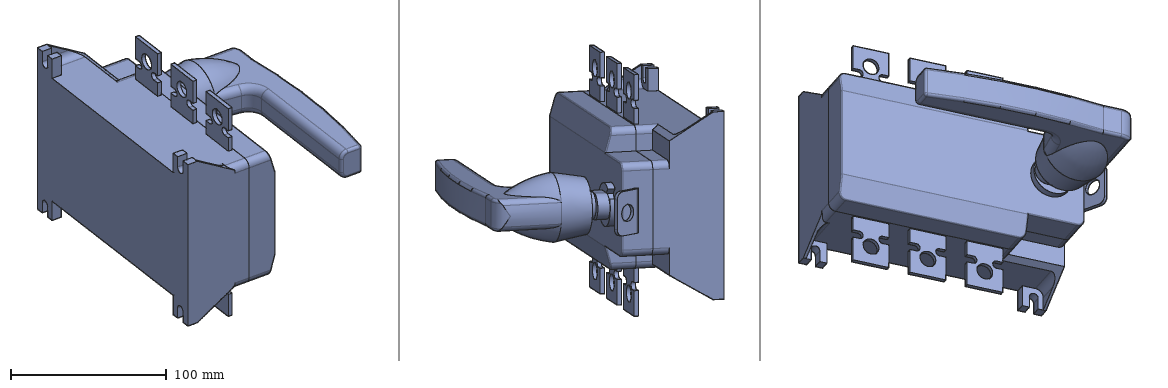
import cadquery as cq
import math


LENGTH = 170.4
BODY_HALF = 46.7
SPLIT_Y = 47.6
COVER_TOP_Y = 68.3
CORNER_R = 5.0
LEDGE_Y = 36.6
NARROW_HALF = 30.8
NARROW_LENGTH = 39.2
COVER_EDGE_Y = 63.8
COVER_EDGE_R = 0.7

FOOT_HALF = 61.4
FOOT_HEIGHT = 7.3
FOOT_LENGTH = 16.7
END_PLATE = 2.0
END_PLATE_R = 5.5
SLOPE_TOP_HALF = 44.0
SLOT_WIDTH = 6.0
SLOT_DEPTH = 10.8
SLOT_INSET = 8.6

POLES = 3
TERMINAL_TIP = 79.0
TERMINAL_WIDTH = 25.1
TERMINAL_BOTTOM_Y = 43.6
TERMINAL_THICKNESS = 3.0
POLE_PITCH = 40.0
FIRST_POLE_X = 60.3
TERMINAL_HOLE_D = 11.0
TERMINAL_HOLE_Z = 66.3
NOTCH_WIDTH = 5.3
NOTCH_DEPTH = 7.0
NOTCH_Z = 59.5

AXIS_X = 23.6
DISC_R = 14.1
DISC_TOP_Y = 73.3
DISC_NOTCH_WIDTH = 7.3
DISC_NOTCH_DEPTH = 6.6
DISC_NOTCH_ANGLE = 40.0
COLLAR_LENGTH = 26.5
COLLAR_WIDTH = 17.2
COLLAR_TOP_Y = 81.3
STEM_BOTTOM_R = 9.0
STEM_TOP_R = 10.3
KNOB_BOTTOM_Y = 86.5
KNOB_BOTTOM_R = 18.7
SHOULDER_Y = 108.1
SHOULDER_R = 22.5
SHAFT_END_X = AXIS_X - SHOULDER_R
NECK_X = AXIS_X + SHOULDER_R
DOME_MID = (18.0, 125.5)
DOME_END = (9.2, 141.6)
GRIP_HALF = 10.5
GRIP_TOP_Y = 152.5
GRIP_CROWN = (86.1, 156.7)
GRIP_END_X = 148.4
GRIP_END_TOP_Y = 150.8
GRIP_BOTTOM_Y = 134.3
GRIP_CORNER_R = 10.0
NECK_LEAN = 3.7
NECK_R = 10.0
GRIP_UNDER_R = 5.5
SHAFT_END_R = 5.0
GRIP_EDGE_R = 2.0

BRACKET_HALF = 14.5
BRACKET_THICKNESS = 2.5
BRACKET_BOTTOM_Y = 57.5
BRACKET_ANGLE = 60.0
BRACKET_BEND_R = 1.3
BRACKET_FOOT = 0.5
BRACKET_REACH = 12.8
BRACKET_CORNER_R = 4.8
BRACKET_HOLE_D = 11.0
BRACKET_HOLE_INSET = 9.5

MARGIN = 1.8
NARROW_MARGIN = 0.2


def plan(y):
    """Workplane at height y with local axes X and Z; negative extrusion goes towards +Y."""
    return cq.Workplane("XZ", origin=(0, y, 0))


def block(x0, x1, half_z, y0, y1):
    """Box from x0 to x1 and y0 to y1, centred on Z = 0."""
    return plan(y0).center((x0 + x1) / 2, 0).rect(x1 - x0, 2 * half_z).extrude(y0 - y1)


def pole_section(y0, y1):
    """Wide part of the upper housing, over the poles."""
    return block(NARROW_LENGTH, LENGTH, BODY_HALF, y0, y1).edges("|Y").fillet(CORNER_R)


def shaft_section(y0, y1):
    """Narrow part of the upper housing, under the handle; it runs on into the pole section."""
    return block(0, LENGTH / 2, NARROW_HALF, y0, y1).edges("|Y and <X").fillet(CORNER_R)


def sloped_base():
    """Lower base with end plates, cut to its sloped end profile."""
    lower = block(0, LENGTH, BODY_HALF, 0, LEDGE_Y)
    for x in (0, LENGTH - END_PLATE):
        lower = lower.union(block(x, x + END_PLATE, FOOT_HALF, 0, LEDGE_Y))
    inner_corners = cq.selectors.BoxSelector(
        (END_PLATE / 2, 0, -BODY_HALF - MARGIN),
        (LENGTH - END_PLATE / 2, LEDGE_Y, BODY_HALF + MARGIN),
    )
    lower = lower.edges("|Y").edges(inner_corners).fillet(END_PLATE_R)
    end_profile = (
        cq.Workplane("YZ")
        .moveTo(0, -FOOT_HALF)
        .lineTo(FOOT_HEIGHT, -FOOT_HALF)
        .lineTo(LEDGE_Y, -SLOPE_TOP_HALF)
        .lineTo(LEDGE_Y, SLOPE_TOP_HALF)
        .lineTo(FOOT_HEIGHT, FOOT_HALF)
        .lineTo(0, FOOT_HALF)
        .close()
        .extrude(LENGTH)
    )
    return lower.intersect(end_profile)


def slotted_feet(x0, slot_x):
    """The pair of feet at one end, each with a slot open to its outer edge."""
    feet = block(x0, x0 + FOOT_LENGTH, FOOT_HALF, 0, FOOT_HEIGHT)
    slots = (
        plan(0)
        .pushPoints([(slot_x, FOOT_HALF), (slot_x, -FOOT_HALF)])
        .slot2D(2 * SLOT_DEPTH, SLOT_WIDTH, 90)
        .extrude(-FOOT_HEIGHT)
    )
    return feet, slots


def terminal(x):
    """One flat bar through the base, with a bolt hole and two side notches at each end."""
    top = TERMINAL_BOTTOM_Y + TERMINAL_THICKNESS
    half = TERMINAL_WIDTH / 2
    bar = block(x - half, x + half, TERMINAL_TIP, TERMINAL_BOTTOM_Y, top)
    holes = (
        plan(TERMINAL_BOTTOM_Y)
        .pushPoints([(x, TERMINAL_HOLE_Z), (x, -TERMINAL_HOLE_Z)])
        .circle(TERMINAL_HOLE_D / 2)
        .extrude(-TERMINAL_THICKNESS)
    )
    notches = (
        plan(TERMINAL_BOTTOM_Y)
        .pushPoints([(x + sx * half, sz * NOTCH_Z) for sx in (-1, 1) for sz in (-1, 1)])
        .slot2D(2 * NOTCH_DEPTH, NOTCH_WIDTH)
        .extrude(-TERMINAL_THICKNESS)
    )
    return bar.cut(holes).cut(notches)


def make_base():
    """Base with its end plates and feet; the terminals are one piece with it."""
    base = sloped_base()
    base = base.union(pole_section(FOOT_HEIGHT, SPLIT_Y)).union(shaft_section(FOOT_HEIGHT, SPLIT_Y))
    ends = ((0, SLOT_INSET), (LENGTH - FOOT_LENGTH, LENGTH - SLOT_INSET))
    for foot_x, slot_x in ends:
        feet, slots = slotted_feet(foot_x, slot_x)
        base = base.union(feet).cut(slots)
    for pole in range(POLES):
        base = base.union(terminal(FIRST_POLE_X + pole * POLE_PITCH))
    return base


def sloped_pole_cover():
    """Wide part of the cover, with flanks sloping to its long sides and a rounded rim."""
    profile = (
        cq.Workplane("YZ")
        .moveTo(SPLIT_Y, -BODY_HALF)
        .lineTo(COVER_EDGE_Y, -BODY_HALF)
        .lineTo(COVER_TOP_Y, -NARROW_HALF)
        .lineTo(COVER_TOP_Y, NARROW_HALF)
        .lineTo(COVER_EDGE_Y, BODY_HALF)
        .lineTo(SPLIT_Y, BODY_HALF)
        .close()
        .extrude(LENGTH)
    )
    cover = pole_section(SPLIT_Y, COVER_TOP_Y).intersect(profile)
    upper_edges = cq.selectors.BoxSelector(
        (0, COVER_EDGE_Y - MARGIN, -BODY_HALF - MARGIN),
        (LENGTH + MARGIN, COVER_TOP_Y + MARGIN, BODY_HALF + MARGIN),
    )
    ridges = cq.selectors.BoxSelector(
        (NARROW_LENGTH + MARGIN, COVER_TOP_Y - NARROW_MARGIN, -BODY_HALF),
        (LENGTH - MARGIN, COVER_TOP_Y + NARROW_MARGIN, BODY_HALF),
    )
    return cover.edges(upper_edges - ridges).fillet(COVER_EDGE_R)


def make_cover():
    """Cover: sloped pole section and narrow shaft section, both with rounded rims."""
    shaft_cover = shaft_section(SPLIT_Y, COVER_TOP_Y).faces(">Y").edges("not >X").fillet(COVER_EDGE_R)
    return sloped_pole_cover().union(shaft_cover)


def knob():
    """Shaft stem, tapered knob and dome, turned about the shaft axis."""
    return (
        cq.Workplane("XY", origin=(AXIS_X, 0, 0))
        .moveTo(0, COLLAR_TOP_Y)
        .lineTo(STEM_BOTTOM_R, COLLAR_TOP_Y)
        .lineTo(STEM_TOP_R, KNOB_BOTTOM_Y)
        .lineTo(KNOB_BOTTOM_R, KNOB_BOTTOM_Y)
        .lineTo(SHOULDER_R, SHOULDER_Y)
        .threePointArc(DOME_MID, DOME_END)
        .lineTo(0, DOME_END[1])
        .close()
        .revolve(360, (0, 0, 0), (0, 1, 0))
    )


def collar():
    """Oblong collar on a round disc that has one locking notch in its rim."""
    disc = plan(COVER_TOP_Y).center(AXIS_X, 0).circle(DISC_R).extrude(COVER_TOP_Y - DISC_TOP_Y)
    notch = (
        plan(COVER_TOP_Y)
        .center(AXIS_X, 0)
        .transformed(rotate=(0, 0, 180 - DISC_NOTCH_ANGLE))
        .center(DISC_R, 0)
        .rect(2 * DISC_NOTCH_DEPTH, DISC_NOTCH_WIDTH)
        .extrude(COVER_TOP_Y - DISC_TOP_Y)
    )
    oblong = (
        plan(DISC_TOP_Y)
        .center(AXIS_X, 0)
        .slot2D(COLLAR_LENGTH, COLLAR_WIDTH)
        .extrude(DISC_TOP_Y - COLLAR_TOP_Y)
    )
    return disc.cut(notch).union(oblong)


def lever_blank():
    """Bent lever of even thickness: a neck over the shaft and a long grip, rounded underneath."""
    blank = (
        cq.Workplane("XY", origin=(0, 0, -GRIP_HALF))
        .moveTo(SHAFT_END_X, SHOULDER_Y)
        .lineTo(NECK_X, SHOULDER_Y)
        .lineTo(NECK_X + NECK_LEAN, GRIP_BOTTOM_Y)
        .lineTo(GRIP_END_X, GRIP_BOTTOM_Y)
        .lineTo(GRIP_END_X, GRIP_END_TOP_Y)
        .threePointArc(GRIP_CROWN, (AXIS_X, GRIP_TOP_Y))
        .lineTo(SHAFT_END_X + GRIP_CORNER_R, GRIP_TOP_Y)
        .radiusArc((SHAFT_END_X, GRIP_TOP_Y - GRIP_CORNER_R), -GRIP_CORNER_R)
        .close()
        .extrude(2 * GRIP_HALF)
    )
    neck_bend = cq.selectors.NearestToPointSelector((NECK_X + NECK_LEAN, GRIP_BOTTOM_Y, 0))
    blank = blank.edges("|Z").edges(neck_bend).fillet(NECK_R)
    underside = cq.selectors.BoxSelector(
        (NECK_X - MARGIN, SHOULDER_Y + MARGIN, -GRIP_HALF - MARGIN),
        (GRIP_END_X - MARGIN, GRIP_BOTTOM_Y + MARGIN, GRIP_HALF + MARGIN),
    )
    return blank.edges("not |Z").edges(underside).fillet(GRIP_UNDER_R)


def grip():
    """Lever with rounded top edges, far end and shaft end."""
    blank = lever_blank()
    headroom = GRIP_CROWN[1] + MARGIN
    over_shaft = blank.intersect(block(SHAFT_END_X, AXIS_X, SHOULDER_R, SHOULDER_Y, headroom))
    beyond_shaft = blank.intersect(block(AXIS_X, GRIP_END_X, SHOULDER_R, SHOULDER_Y, headroom))

    flat_top = cq.selectors.BoxSelector(
        (SHAFT_END_X + GRIP_CORNER_R, GRIP_TOP_Y - NARROW_MARGIN, -GRIP_HALF - MARGIN),
        (AXIS_X - NARROW_MARGIN, headroom, GRIP_HALF + MARGIN),
    )
    over_shaft = over_shaft.edges("|X").edges(flat_top).fillet(GRIP_EDGE_R)
    crowned_top = cq.selectors.BoxSelector(
        (AXIS_X + MARGIN, GRIP_TOP_Y, -GRIP_HALF - MARGIN),
        (GRIP_END_X - MARGIN, headroom, GRIP_HALF + MARGIN),
    )
    far_end = beyond_shaft.faces(">X").edges()
    beyond_shaft = far_end.add(beyond_shaft.edges("not |Z").edges(crowned_top)).fillet(GRIP_EDGE_R)

    shaft_end = plan(SHOULDER_Y).center(AXIS_X, 0).circle(SHOULDER_R).extrude(SHOULDER_Y - headroom)
    outline = shaft_end.union(block(AXIS_X, GRIP_END_X, SHOULDER_R, SHOULDER_Y, headroom))
    outline = outline.intersect(block(SHAFT_END_X, GRIP_END_X, GRIP_HALF, SHOULDER_Y, headroom))
    outline = outline.edges("|Y and (not >X)").fillet(SHAFT_END_R)
    return over_shaft.union(beyond_shaft).intersect(outline)


def make_handle():
    """Turning handle: collar, knob and grip in one piece, standing on the cover."""
    return collar().union(knob()).union(grip())


def make_bracket():
    """Bent tab on the end of the cover, with a padlock hole in its tilted leg."""
    tilt = math.radians(BRACKET_ANGLE)
    outer_r = BRACKET_BEND_R + BRACKET_THICKNESS
    bend_y = BRACKET_BOTTOM_Y + outer_r
    leg = (BRACKET_REACH - BRACKET_FOOT - outer_r * math.sin(tilt)) / math.cos(tilt)

    def point(radius, angle, along=0.0):
        """Point at an angle round the bend, then a distance along the leg."""
        x = -BRACKET_FOOT - radius * math.sin(angle) - along * math.cos(angle)
        y = bend_y - radius * math.cos(angle) + along * math.sin(angle)
        return (x, y)

    tab = (
        cq.Workplane("XY", origin=(0, 0, -BRACKET_HALF))
        .moveTo(0, BRACKET_BOTTOM_Y)
        .lineTo(*point(outer_r, 0))
        .threePointArc(point(outer_r, tilt / 2), point(outer_r, tilt))
        .lineTo(*point(outer_r, tilt, leg))
        .lineTo(*point(BRACKET_BEND_R, tilt, leg))
        .lineTo(*point(BRACKET_BEND_R, tilt))
        .threePointArc(point(BRACKET_BEND_R, tilt / 2), point(BRACKET_BEND_R, 0))
        .lineTo(0, BRACKET_BOTTOM_Y + BRACKET_THICKNESS)
        .close()
        .extrude(2 * BRACKET_HALF)
    )
    tab = tab.faces(">Y").edges("not |Z").fillet(BRACKET_CORNER_R)
    hole_x, hole_y = point(BRACKET_BEND_R, tilt, leg - BRACKET_HOLE_INSET)
    hole_plane = cq.Plane(
        origin=(hole_x, hole_y, 0), xDir=(0, 0, 1), normal=(-math.sin(tilt), -math.cos(tilt), 0)
    )
    hole = cq.Workplane(hole_plane).circle(BRACKET_HOLE_D / 2).extrude(BRACKET_THICKNESS)
    return tab.cut(hole)


base = make_base()
cover = make_cover()
handle = make_handle()
bracket = make_bracket()

result = cq.Compound.makeCompound([base.val(), cover.val(), handle.val(), bracket.val()])